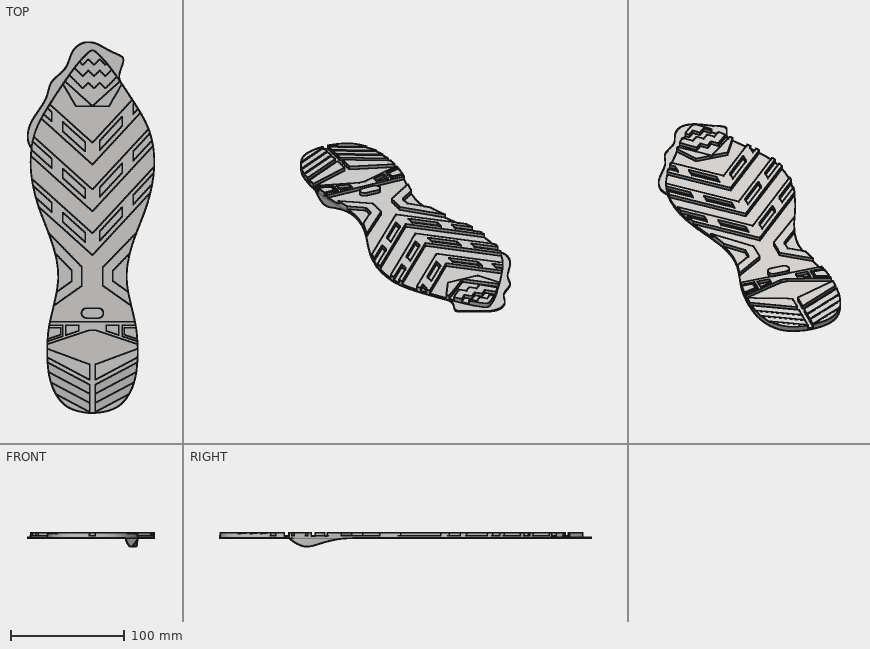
import cadquery as cq
import math


tread_top = 5.0
base_top = 2.0
flap_thickness = 1.0
tread_height = tread_top - base_top

sole_length = 320.4
far = 60.0

heel_end = (0.0, 0.0)
toe_tip = (0.0, sole_length)
half_outline = [
    (13.0, 1.75),
    (21.9, 5.4),
    (34.6, 21.2),
    (40.0, 50.0),
    (38.4, 76.5),
    (30.3, 119.0),
    (34.8, 147.6),
    (46.6, 179.2),
    (54.7, 220.6),
    (49.9, 250.2),
    (37.1, 273.9),
    (20.8, 298.3),
    (4.7, 317.5),
]

flap_edge = [
    (-53.5, 233.5),
    (-56.5, 239.0),
    (-55.2, 254.5),
    (-40.0, 281.0),
    (-37.0, 291.0),
    (-23.8, 305.0),
    (-17.8, 319.0),
    (-8.2, 327.05),
    (0.5, 327.25),
    (17.7, 318.9),
    (27.2, 313.0),
    (25.2, 304.0),
    (25.0, 292.5),
]
flap_root = [(0.0, 280.0), (-40.0, 235.0)]

zigzag_axis = 1.4
zigzag_half_pitch = 5.0
first_valley_y = 307.5
second_valley_y = 297.6
third_valley_y = 286.8
toe_pad_foot_y = 271.2
toe_pad_foot_half_width = 14.7
toe_pad_top_half_width = 26.0
toe_pad_top_y = 290.6
toe_notch_slope = 0.9

chevron_apex_ys = [238.8, 197.5, 158.8]
chevron_depth = 19.3
left_slope = 0.9
right_slope = 1.08
window_start = 5.2
window_end = 13.5
inner_window_near = 6.4
inner_window_far = 26.2
outer_window_near = 35.9

bracket_outer_flat = (112.5, 128.9)
bracket_inner_flat = (116.6, 125.9)
bracket_outer_half_width = 9.3
bracket_inner_half_width = 18.1
bracket_upper_slope = 1.03
bracket_lower_slope = 0.71

stud_y = 88.3
stud_length = 19.4
stud_width = 8.6

bar_top_y = 80.7
bar_apex_y = 73.2
bar_slope = 0.335
bar_apex_half_width = 3.0
bar_margin_top = 3.1
bar_margin_bottom = 2.5
inner_pocket_near = 12.3
inner_pocket_far = 23.4
outer_pocket_near = 26.1
groove_width = 2.0

heel_slot_half_width = 2.4
heel_pad_top_y = 43.0
heel_pad_top_slope = 0.37
heel_pad_bottom_y = 29.4
heel_block_top_y = 25.1
heel_slope = 0.53
saw_count = 3
saw_pitch = 8.05
saw_depth = 1.0

arch_drop = 7.54
arch_front = (121.0, 0.0)
arch_middle = [(103.0, -1.2), (90.0, -4.4)]
arch_low = (76.2, -arch_drop)
arch_back = (60.8, 0.0)
arch_end_directions = [(-1.0, 0.0), (-0.5, 0.4)]
arch_wall_ends = [(41.0, 59.5), (30.5, 122.0)]
arch_wall_middle = (31.9, 84.0)


def sole_prism(bottom, top):
    """The full sole outline between two heights."""
    left = [(-x, y) for x, y in reversed(half_outline)]
    points = [heel_end] + half_outline + [toe_tip] + left
    outline = cq.Workplane("XY").workplane(offset=bottom).spline(points, periodic=True).close()
    return outline.extrude(top - bottom)


def tread(points):
    """A pad of tread height over a polygon."""
    return cq.Workplane("XY").workplane(offset=base_top).polyline(points).close().extrude(tread_height)


def both_sides(pad):
    """A right-hand pad together with its mirror image."""
    return pad.union(pad.mirror("YZ"))


def zigzag(valley_y):
    """A zigzag line with three valleys, its end strokes running on past the sole edge."""
    step = zigzag_half_pitch
    outer_valley = 2 * step
    return [
        (zigzag_axis - outer_valley - far, valley_y + far),
        (zigzag_axis - outer_valley, valley_y),
        (zigzag_axis - step, valley_y + step),
        (zigzag_axis, valley_y),
        (zigzag_axis + step, valley_y + step),
        (zigzag_axis + outer_valley, valley_y),
        (zigzag_axis + outer_valley + far, valley_y + far),
    ]


def toe_treads():
    tip_pad = tread(zigzag(first_valley_y))
    middle_pad = tread(zigzag(third_valley_y)).cut(tread(zigzag(second_valley_y)))
    foot_pad = tread([
        (0, toe_pad_foot_y),
        (toe_pad_foot_half_width, toe_pad_foot_y),
        (toe_pad_top_half_width, toe_pad_top_y),
        (far, toe_pad_foot_y + toe_notch_slope * far),
    ])
    return tip_pad.union(middle_pad).union(both_sides(foot_pad))


def slanted_strip(apex_y, start, end, near, reach, side):
    """A strip rising outward at the chevron slope, on side -1 (left) or 1 (right)."""
    slope = right_slope if side > 0 else left_slope
    near_y = apex_y + slope * near
    reach_y = apex_y + slope * reach
    return tread([
        (side * near, near_y - start),
        (side * reach, reach_y - start),
        (side * reach, reach_y - end),
        (side * near, near_y - end),
    ])


def chevron(apex_y):
    pad = slanted_strip(apex_y, 0, chevron_depth, 0, far, -1)
    pad = pad.union(slanted_strip(apex_y, 0, chevron_depth, 0, far, 1))
    for side in (-1, 1):
        for near, reach in ((inner_window_near, inner_window_far), (outer_window_near, far)):
            pad = pad.cut(slanted_strip(apex_y, window_start, window_end, near, reach, side))
    return pad


def waist_wedge(half_width, flat):
    """A trapezoid opening outward from a flat inner edge."""
    low, high = flat
    run = far - half_width
    return tread([
        (half_width, low),
        (half_width, high),
        (far, high + bracket_upper_slope * run),
        (far, low - bracket_lower_slope * run),
    ])


def waist_brackets():
    outer = waist_wedge(bracket_outer_half_width, bracket_outer_flat)
    return both_sides(outer.cut(waist_wedge(bracket_inner_half_width, bracket_inner_flat)))


def oval_stud():
    sketch = cq.Workplane("XY").workplane(offset=base_top).center(0, stud_y)
    return sketch.slot2D(stud_length, stud_width).extrude(tread_height)


def bar_bottom(x):
    """Y of the lower edge of the cross bar, falling outward from its flat apex."""
    return bar_apex_y - bar_slope * (x - bar_apex_half_width)


def bar_region(near, reach, top_margin, bottom_margin):
    """Part of the right half of the cross bar, inset from its upper and lower edges."""
    top = bar_top_y - top_margin
    return tread([
        (near, top),
        (reach, top),
        (reach, bar_bottom(reach) + bottom_margin),
        (near, bar_bottom(near) + bottom_margin),
    ])


def cross_bar():
    half = tread([
        (0, bar_apex_y),
        (0, bar_top_y),
        (far, bar_top_y),
        (far, bar_bottom(far)),
        (bar_apex_half_width, bar_apex_y),
    ])
    half = half.cut(bar_region(inner_pocket_near, inner_pocket_far, bar_margin_top, bar_margin_bottom))
    half = half.cut(bar_region(outer_pocket_near, far, bar_margin_top, bar_margin_bottom))
    half = half.union(bar_region(
        outer_pocket_near + groove_width,
        far,
        bar_margin_top + groove_width,
        bar_margin_bottom + groove_width,
    ))
    return both_sides(half)


def saw_cut(crest_y):
    """A wedge that slopes one right-hand heel strip down toward the back of the heel."""
    angle = math.atan(heel_slope)
    width = saw_pitch * math.cos(angle)
    axis_y = crest_y - heel_slope * heel_slot_half_width
    plane = cq.Plane(
        origin=(0, axis_y, tread_top),
        xDir=(math.sin(angle), -math.cos(angle), 0),
        normal=(math.cos(angle), math.sin(angle), 0),
    )
    section = cq.Workplane(plane).workplane(offset=-heel_slot_half_width)
    return section.polyline([(0, 0), (width, 0), (width, saw_depth)]).close().extrude(2 * far)


def heel_treads():
    slot = heel_slot_half_width
    run = far - slot
    pad = tread([
        (slot, heel_pad_bottom_y),
        (slot, heel_pad_top_y),
        (far, heel_pad_top_y + heel_pad_top_slope * run),
        (far, heel_pad_bottom_y + heel_slope * run),
    ])
    block = tread([
        (slot, -far),
        (slot, heel_block_top_y),
        (far, heel_block_top_y + heel_slope * run),
        (far, -far),
    ])
    for i in range(saw_count):
        block = block.cut(saw_cut(heel_block_top_y - i * saw_pitch))
    return both_sides(pad.union(block))


def all_treads():
    treads = toe_treads()
    for apex_y in chevron_apex_ys:
        treads = treads.union(chevron(apex_y))
    for group in (waist_brackets(), oval_stud(), cross_bar(), heel_treads()):
        treads = treads.union(group)
    return treads


def toe_flap():
    outline = cq.Workplane("XY").moveTo(*flap_edge[0]).spline(flap_edge[1:], includeCurrent=True)
    for point in flap_root:
        outline = outline.lineTo(*point)
    return outline.close().extrude(flap_thickness)


def arch_support():
    """A keel under the right edge, with a curved inner wall and a curved underside."""
    wall_start, wall_end = arch_wall_ends
    plan = cq.Workplane("XY").workplane(offset=-arch_drop).moveTo(*wall_start)
    plan = plan.threePointArc(arch_wall_middle, wall_end)
    plan = plan.lineTo(far, wall_end[1]).lineTo(far, wall_start[1]).close().extrude(arch_drop)
    profile = cq.Workplane("YZ").spline(
        [arch_front] + arch_middle + [arch_low, arch_back],
        tangents=arch_end_directions,
    )
    profile = profile.close().extrude(far)
    return plan.intersect(profile).intersect(sole_prism(-arch_drop, 0))


def tread_recess():
    """Everything above the base that is not tread, over a rectangle larger than the sole."""
    slab = cq.Workplane("XY").workplane(offset=base_top).center(0, sole_length / 2)
    return slab.rect(2 * far, sole_length + 2 * far).extrude(tread_height).cut(all_treads())


result = sole_prism(0, tread_top).cut(tread_recess())
result = result.union(toe_flap()).union(arch_support())